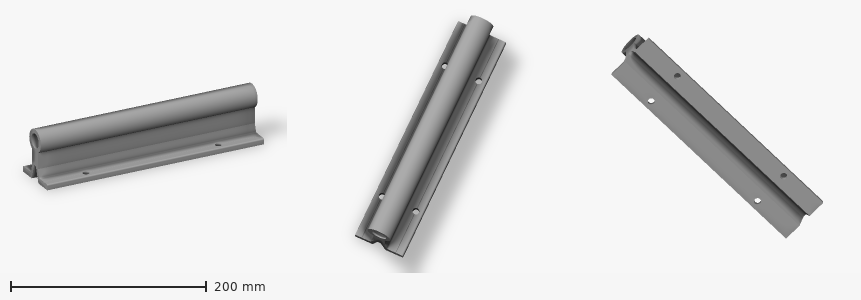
import cadquery as cq

length = 250.0
base_width = 54.0
total_height = 57.2

tube_radius = 12.8
bore_diameter = 16.0
tube_center_z = total_height - tube_radius

web_width = 12.5
web_bottom_z = 15.5
leg_foot_half_width = 9.2
leg_foot_fillet = 1.5

flange_thickness = 6.2
edge_round = 1.5
groove_offset = 19.0
groove_width = 1.0
groove_depth = 0.5

channel_half_width = 7.2
channel_height = 17.0
channel_crown_half_width = 2.5
channel_crown_start_z = 15.0

hole_diameter = 7.0
hole_spacing_x = 2 * groove_offset
hole_spacing_y = 152.5


def along_rail(profile):
    """Extrude an XZ profile over the rail length, centred on Y = 0."""
    return profile.extrude(length / 2, both=True)


def make_base_and_web():
    half_base = base_width / 2
    half_web = web_width / 2
    outline = [
        (-half_base, 0),
        (half_base, 0),
        (half_base, flange_thickness),
        (leg_foot_half_width, flange_thickness),
        (half_web, web_bottom_z),
        (half_web, tube_center_z),
        (-half_web, tube_center_z),
        (-half_web, web_bottom_z),
        (-leg_foot_half_width, flange_thickness),
        (-half_base, flange_thickness),
    ]
    body = along_rail(cq.Workplane("XZ").polyline(outline).close())
    for side in (-1, 1):
        foot = (side * leg_foot_half_width, 0, flange_thickness)
        body = body.edges(cq.NearestToPointSelector(foot)).fillet(leg_foot_fillet)
        corner = (side * half_base, 0, flange_thickness)
        body = body.edges(cq.NearestToPointSelector(corner)).fillet(edge_round)
    return body


def make_tube():
    return along_rail(cq.Workplane("XZ").center(0, tube_center_z).circle(tube_radius))


def make_bore():
    return along_rail(cq.Workplane("XZ").center(0, tube_center_z).circle(bore_diameter / 2))


def make_channel():
    profile = (
        cq.Workplane("XZ")
        .moveTo(-channel_half_width, 0)
        .lineTo(-channel_crown_half_width, channel_crown_start_z)
        .threePointArc((0, channel_height), (channel_crown_half_width, channel_crown_start_z))
        .lineTo(channel_half_width, 0)
        .close()
    )
    return along_rail(profile)


def make_groove(center_x):
    """V-shaped marking groove in the top of a flange."""
    profile = (
        cq.Workplane("XZ")
        .moveTo(center_x - groove_width / 2, flange_thickness)
        .lineTo(center_x, flange_thickness - groove_depth)
        .lineTo(center_x + groove_width / 2, flange_thickness)
        .close()
    )
    return along_rail(profile)


def make_mounting_holes():
    return (
        cq.Workplane("XY")
        .rarray(hole_spacing_x, hole_spacing_y, 2, 2)
        .circle(hole_diameter / 2)
        .extrude(flange_thickness)
    )


result = make_base_and_web().union(make_tube()).cut(make_bore()).cut(make_channel())
for groove_x in (-groove_offset, groove_offset):
    result = result.cut(make_groove(groove_x))
result = result.cut(make_mounting_holes())